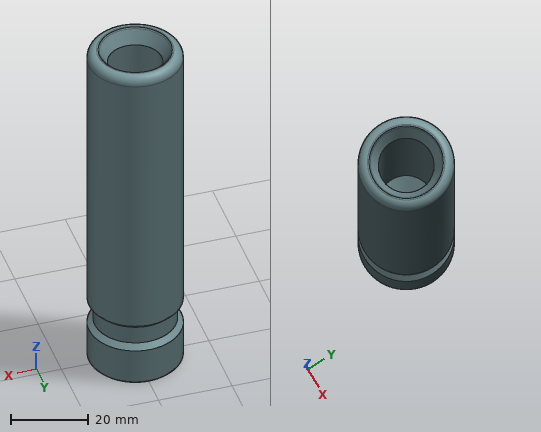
import cadquery as cq
import math

length = 100.0
outer_radius = 12.5
top_round = 2.5
bottom_chamfer = 0.9

groove_radius = 11.0
groove_bottom = 11.0
groove_top = 19.1
flank = outer_radius - groove_radius

bore_radius = 7.2
bore_depth = 50.0
drill_point_angle = 118.0
mouth_radius = 9.3
mouth_depth = 4.0
lip_chamfer = 0.3


def turned_body():
    """Outer profile revolved about Z."""
    round_centre_radius = outer_radius - top_round
    round_centre_z = length - top_round
    round_mid = top_round * math.sqrt(0.5)
    return (
        cq.Workplane("XZ")
        .moveTo(0, 0)
        .lineTo(outer_radius - bottom_chamfer, 0)
        .lineTo(outer_radius, bottom_chamfer)
        .lineTo(outer_radius, groove_bottom)
        .lineTo(groove_radius, groove_bottom + flank)
        .lineTo(groove_radius, groove_top - flank)
        .lineTo(outer_radius, groove_top)
        .lineTo(outer_radius, round_centre_z)
        .threePointArc(
            (round_centre_radius + round_mid, round_centre_z + round_mid),
            (round_centre_radius, length),
        )
        .lineTo(0, length)
        .close()
        .revolve(360, (0, 0, 0), (0, 1, 0))
    )


def flared_bore():
    """Bore, drill point, conical mouth and lip chamfer as one revolved cutter."""
    floor_z = length - bore_depth
    point_depth = bore_radius / math.tan(math.radians(drill_point_angle / 2))
    lip_z = length - lip_chamfer
    return (
        cq.Workplane("XZ")
        .moveTo(0, floor_z - point_depth)
        .lineTo(bore_radius, floor_z)
        .lineTo(bore_radius, length - mouth_depth)
        .lineTo(mouth_radius, lip_z)
        .lineTo(mouth_radius + lip_chamfer, length)
        .lineTo(0, length)
        .close()
        .revolve(360, (0, 0, 0), (0, 1, 0))
    )


result = turned_body().cut(flared_bore())